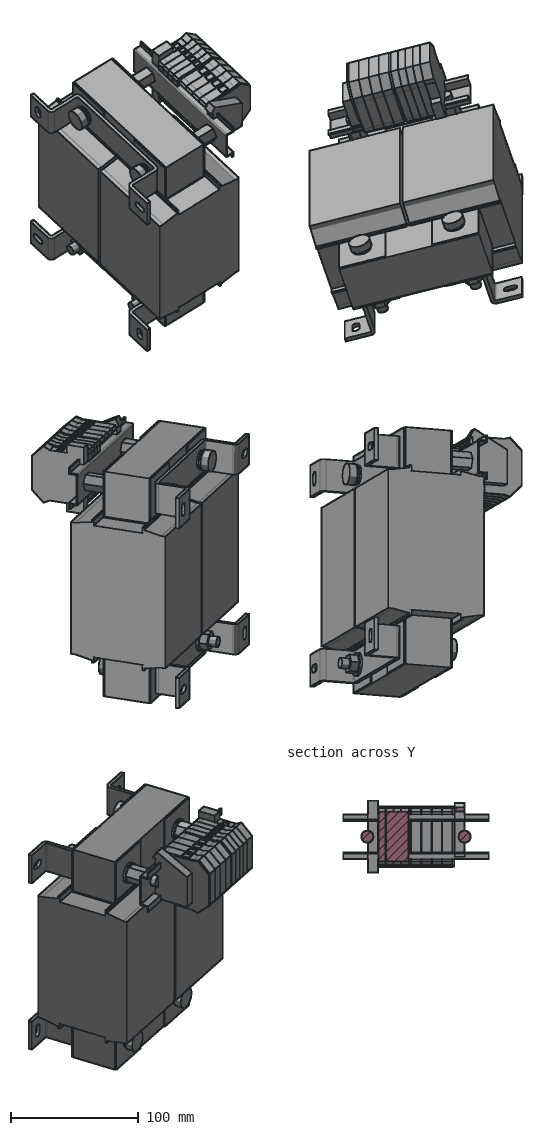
import cadquery as cq
import math


limb_width = 38.0
core_width = 3 * limb_width
core_height = 189.8
core_mid_depth = 37.6
core_depth = 40.2
plate_inset = 0.2
lower_yoke_top = 39.6
upper_yoke_bottom = core_height - limb_width
core_face = core_depth / 2
bolt_x = limb_width
lower_z = limb_width / 2
upper_z = core_height - limb_width / 2

coils_width = 150.0
coil_gap = 2.4
coil_depth = 80.0
coil_height = 111.2
coil_mid_z = 95.1
coil_rim = 3.5
coil_end_rise = 2.8
flange_outer_y = 22.0
flange_inner_y = 20.5
flange_rise = 4.5

sheet = 3.0
bend_radius = 0.8
bracket_height = 25.5
bracket_span = 144.3
leg_outer_x = 50.3
foot_front_y = -50.3
slot_x = 63.0
slot_length = 10.7
slot_width = 6.0

head_radius = 8.4
head_length = 6.4
washer_thickness = 1.8
washer_radius = 8.2
collar_radius = 7.4
nut_flats = 13.1
nut_height = 6.8
nut_washer_radius = 9.2
stud_radius = 4.2
stud_tip = 6.4

rail_back_y = 41.5
rail_depth = 7.5
rail_sheet = 1.2
rail_bend_radius = 1.2
rail_web_height = 26.9
rail_height = 35.0
standoff_corner_radius = 7.4
standoff_turn = 6
screw_head_radius = 4.8
screw_head_height = 4.4

terminal_foot_y = 44.4
terminal_tip_y = 88.4
terminal_ridge_y = 78.5
terminal_neck_y = 73.2
terminal_tip_half = 14.3
terminal_ridge_half = 23.9
end_block_y = 59.0
end_block_half = 199 - upper_z
end_neck_half = 21.3
neck_half = 22.5
neck_slope_y = 48.5
foot_shoulder_y = 44.8
foot_shoulder_half = 22.0
foot_lip_y = 43.5
foot_lip_half = 19.3
wide_seat_y = 48.5
separator_foot_y = 57.3
terminals_left = -37.6
narrow_pitch = 6.0
wide_pitch = 8.2
narrow_count = 4
wide_count = 4
separator_width = 1.5
separator_inset = 0.2
module_clearance = 0.2
window_depth = 0.8
window_top_y = 68.5
end_window_width = 4.2
narrow_window_width = 3.5
wide_window_width = 5.2
short_window = 5.0
long_window = 6.5

clamp_width = 7.8
clamp_back_y = 73.2
clamp_back_z = 182.5
clamp_ridge_y = 45.8
clamp_ridge_z = 197.2
clamp_nose_y = 42.2
clamp_nose_z = 191.5
clamp_nose_drop = 1.2
clamp_bottom_z = 155.2


def block(x0, x1, y0, y1, z0, z1):
    return cq.Workplane("XY").box(x1 - x0, y1 - y0, z1 - z0, centered=False).translate((x0, y0, z0))


def side_prism(points, x0, x1):
    """Prism along X from an outline of (y, z) points."""
    return cq.Workplane("YZ").polyline(points).close().extrude(x1 - x0).translate((x0, 0, 0))


def rod(x, z, radius, y0, y1):
    """Round bar along Y."""
    return cq.Workplane("XZ").circle(radius).extrude(y0 - y1).translate((x, y0, z))


def hex_bar(x, z, corner_radius, turn, y0, y1):
    """Hexagonal bar along Y with its corners turned by an angle in degrees."""
    bar = cq.Workplane("XZ").polygon(6, 2 * corner_radius).extrude(y0 - y1)
    return bar.rotate((0, 0, 0), (0, 1, 0), turn).translate((x, y0, z))


def make_core():
    """Two yokes joined by two thicker limbs, whose ends stop just short of the yoke faces."""
    half_width = core_width / 2
    half_mid = core_mid_depth / 2
    core = block(-half_width, half_width, -half_mid, half_mid, 0, lower_yoke_top)
    core = core.union(block(-half_width, half_width, -half_mid, half_mid, upper_yoke_bottom, core_height))
    for side in (-1, 1):
        x0, x1 = sorted((side * limb_width / 2, side * (half_width - plate_inset)))
        limb = block(x0, x1, -core_face, core_face, plate_inset, core_height - plate_inset)
        core = core.union(limb)
    return core


def make_coil(side):
    """Winding round one limb, with sloping ends that rise to a flange beside the yoke."""
    end = coil_height / 2
    half_depth = coil_depth / 2
    quarter = [
        (half_depth, end),
        (half_depth - coil_rim, end),
        (flange_outer_y, end + coil_end_rise),
        (flange_outer_y, end + flange_rise),
        (flange_inner_y, end + flange_rise),
        (flange_inner_y, end),
    ]
    upper = quarter + [(-y, z) for y, z in reversed(quarter)]
    lower = [(y, -z) for y, z in reversed(upper)]
    outline = [(y, coil_mid_z + z) for y, z in upper + lower]
    x0, x1 = sorted((side * coil_gap / 2, side * coils_width / 2))
    return side_prism(outline, x0, x1)


def make_bracket(z, upright_slot_side):
    """Bent strip across a yoke with two feet; one slot stands upright and the other lies flat."""
    tip = bracket_span / 2
    leg_inner_x = leg_outer_x - sheet
    seat_y = -core_face
    right = [
        (leg_outer_x, seat_y),
        (leg_outer_x, foot_front_y + sheet),
        (tip, foot_front_y + sheet),
        (tip, foot_front_y),
        (leg_inner_x, foot_front_y),
        (leg_inner_x, seat_y - sheet),
    ]
    outline = right + [(-x, y) for x, y in reversed(right)]
    strip = cq.Workplane("XY").polyline(outline).close().extrude(bracket_height)

    outer_bends = [(leg_outer_x, seat_y), (leg_inner_x, foot_front_y)]
    inner_bends = [(leg_inner_x, seat_y - sheet), (leg_outer_x, foot_front_y + sheet)]
    for corners, radius in ((outer_bends, bend_radius + sheet), (inner_bends, bend_radius)):
        for x, y in corners:
            for side in (-1, 1):
                edge = cq.selectors.NearestToPointSelector((side * x, y, bracket_height / 2))
                strip = strip.edges("|Z").edges(edge).fillet(radius)

    strip = strip.translate((0, 0, z - bracket_height / 2))
    for side in (-1, 1):
        angle = 90 if side == upright_slot_side else 0
        slot = cq.Workplane("XZ").slot2D(slot_length, slot_width, angle).extrude(2 * sheet, both=True)
        strip = strip.cut(slot.translate((side * slot_x, foot_front_y, z)))
    return strip


def make_upper_bolt(side):
    """Round head in front of the bracket; washer, standoff and rail screw behind the core."""
    x = side * bolt_x
    front = -core_face - sheet
    back = core_face + washer_thickness
    bolt = rod(x, upper_z, collar_radius, front, front - washer_thickness)
    bolt = bolt.union(rod(x, upper_z, washer_radius, front - washer_thickness, front - 2 * washer_thickness))
    head_seat = front - 2 * washer_thickness
    bolt = bolt.union(rod(x, upper_z, head_radius, head_seat, head_seat - head_length))
    bolt = bolt.union(rod(x, upper_z, head_radius, core_face, back))
    standoff = hex_bar(x, upper_z, standoff_corner_radius, -side * standoff_turn, back, rail_back_y)
    screw_seat = rail_back_y + rail_sheet
    screw = rod(x, upper_z, screw_head_radius, rail_back_y, screw_seat + screw_head_height)
    return bolt.union(standoff).union(screw)


def make_lower_bolt(side):
    """Round head behind the core; washer, nut and stud end in front of the bracket."""
    x = side * bolt_x
    front = -core_face - sheet
    nut_seat = front - washer_thickness
    nut_end = nut_seat - nut_height
    head_seat = core_face + washer_thickness
    bolt = rod(x, lower_z, collar_radius, core_face, head_seat)
    bolt = bolt.union(rod(x, lower_z, head_radius, head_seat, head_seat + head_length))
    bolt = bolt.union(rod(x, lower_z, nut_washer_radius, front, nut_seat))
    nut_corner_radius = nut_flats / 2 / math.cos(math.pi / 6)
    bolt = bolt.union(hex_bar(x, lower_z, nut_corner_radius, 0, nut_seat, nut_end))
    return bolt.union(rod(x, lower_z, stud_radius, nut_end, nut_end - stud_tip))


def make_rail():
    """Top-hat rail with its base on the standoffs and its lips towards +Y."""
    base, lip = rail_back_y, rail_back_y + rail_depth
    web, edge = rail_web_height / 2, rail_height / 2
    upper = [
        (base, web),
        (lip - rail_sheet, web),
        (lip - rail_sheet, edge),
        (lip, edge),
        (lip, web - rail_sheet),
        (base + rail_sheet, web - rail_sheet),
    ]
    outline = upper + [(y, -z) for y, z in reversed(upper)]
    outline = [(y, upper_z + z) for y, z in outline]
    rail = side_prism(outline, -core_width / 2, core_width / 2)
    return rail.faces("<Y").edges("|X").fillet(rail_bend_radius)


def make_module(foot_points, x0, pitch, inset=0):
    """Terminal housing, symmetric about the rail, from its foot outline and the common wire funnel."""
    funnel = [
        (terminal_ridge_y, terminal_ridge_half - inset),
        (terminal_tip_y - inset, terminal_tip_half - inset),
    ]
    upper = foot_points + funnel
    outline = upper + [(y, -z) for y, z in reversed(upper)]
    outline = [(y, upper_z + z) for y, z in outline]
    return side_prism(outline, x0, x0 + pitch - module_clearance)


def cut_window(module, x0, pitch, neck, width, length):
    """Shallow test opening in the top of the neck."""
    x = x0 + (pitch - module_clearance) / 2
    top = upper_z + neck
    y0 = window_top_y - length
    return module.cut(block(x - width / 2, x + width / 2, y0, window_top_y, top - window_depth, top))


def make_clamp(x0):
    """End clamp whose sloping arm rises towards the core."""
    outline = [
        (clamp_back_y, clamp_bottom_z),
        (clamp_back_y, clamp_back_z),
        (clamp_ridge_y, clamp_ridge_z),
        (clamp_nose_y, clamp_nose_z),
        (terminal_foot_y, clamp_nose_z - clamp_nose_drop),
        (terminal_foot_y, clamp_bottom_z),
    ]
    return side_prism(outline, x0, x0 + clamp_width)


def make_terminals():
    """End terminal, narrow group and wide group with a separator plate after each, then the end clamp."""
    end_foot = [
        (terminal_foot_y, end_block_half),
        (end_block_y, end_block_half),
        (end_block_y, end_neck_half),
        (terminal_neck_y, end_neck_half),
    ]
    narrow_foot = [
        (foot_lip_y, foot_lip_half),
        (foot_shoulder_y, foot_shoulder_half),
        (neck_slope_y, neck_half),
        (terminal_neck_y, neck_half),
    ]
    wide_foot = [(wide_seat_y, foot_lip_half)] + narrow_foot
    separator_half = neck_half - separator_inset
    separator_foot = [(separator_foot_y, separator_half), (terminal_neck_y, separator_half)]

    x = terminals_left
    end = make_module(end_foot, x, wide_pitch)
    parts = [cut_window(end, x, wide_pitch, end_neck_half, end_window_width, short_window)]
    x += wide_pitch
    groups = (
        (narrow_count, narrow_pitch, narrow_foot, narrow_window_width, short_window),
        (wide_count, wide_pitch, wide_foot, wide_window_width, long_window),
    )
    for count, pitch, foot, window_width, window_length in groups:
        for _ in range(count):
            module = make_module(foot, x, pitch)
            parts.append(cut_window(module, x, pitch, neck_half, window_width, window_length))
            x += pitch
        plate_width = separator_width + module_clearance
        parts.append(make_module(separator_foot, x - module_clearance, plate_width, separator_inset))
        x += separator_width
    parts.append(make_clamp(x))
    return parts


result = make_core()
for side in (-1, 1):
    result = result.union(make_coil(side))
result = result.union(make_bracket(upper_z, -1)).union(make_bracket(lower_z, 1))
result = result.union(make_rail())
for side in (-1, 1):
    result = result.union(make_upper_bolt(side)).union(make_lower_bolt(side))
for terminal in make_terminals():
    result = result.union(terminal)